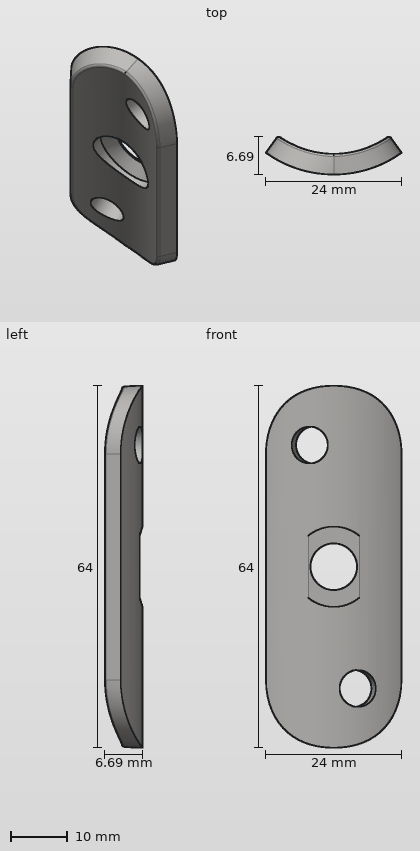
import cadquery as cq
import math

length = 64.0
width = 24.0
outer_radius = 20.5
thickness = 3.7
inner_radius = outer_radius - thickness
end_radius = width / 2
rim_fillet = 0.5
match_tolerance = 0.001
cutter_length = 2 * outer_radius

half_angle = math.degrees(math.asin(width / 2 / outer_radius))

throat_diameter = 8.2
throat_length = 0.2
bore_diameter = 12.4
seat_diameter = 14.2
seat_depth = 0.5

screw_hole_diameter = 6.5
screw_hole_height = 21.5
screw_hole_offset = 4.3
screw_hole_angle = math.degrees(math.asin(screw_hole_offset / outer_radius))


def arc_point(radius, angle):
    """Point on a circle about the tube axis, at an angle from the plate middle."""
    turn = math.radians(angle)
    return (radius * math.sin(turn), outer_radius - radius * math.cos(turn))


def radial_plane(angle, height=0.0):
    """Plane on the tube axis whose normal points out through the plate at an angle."""
    turn = math.radians(angle)
    return cq.Plane(
        origin=(0, outer_radius, height),
        xDir=(math.cos(turn), math.sin(turn), 0),
        normal=(math.sin(turn), -math.cos(turn), 0),
    )


def half_plate():
    """The +X half: a tube sector whose outer corners are rounded along the side wall."""
    sector = (
        cq.Workplane("XY")
        .moveTo(*arc_point(outer_radius, 0))
        .threePointArc(arc_point(outer_radius, half_angle / 2), arc_point(outer_radius, half_angle))
        .lineTo(*arc_point(inner_radius, half_angle))
        .threePointArc(arc_point(inner_radius, half_angle / 2), arc_point(inner_radius, 0))
        .close()
        .extrude(length / 2, both=True)
    )
    rounding = (
        cq.Workplane(radial_plane(half_angle))
        .center(-end_radius, 0)
        .slot2D(length, width, 90)
        .extrude(cutter_length)
    )
    return sector.intersect(rounding)


def lies_on_concave_face(edge):
    """True when the whole edge follows the inner cylinder."""
    points = [edge.positionAt(step / 4) for step in range(5)]
    distances = [math.hypot(point.x, point.y - outer_radius) for point in points]
    return all(abs(distance - inner_radius) < match_tolerance for distance in distances)


def plate():
    """Both halves joined, with the rim of the concave face rounded."""
    half = half_plate()
    whole = half.union(half.mirror("YZ"))
    rim = whole.edges().filter(lies_on_concave_face)
    return rim.fillet(rim_fillet)


def center_hole():
    """Stepped hole along Y: flat seat, short throat, 45 degree cone, wide bore at the back."""
    throat_radius = throat_diameter / 2
    bore_radius = bore_diameter / 2
    cone_start = seat_depth + throat_length
    cone_end = cone_start + bore_radius - throat_radius
    return (
        cq.Workplane("XY")
        .polyline(
            [
                (0, 0),
                (seat_diameter / 2, 0),
                (seat_diameter / 2, seat_depth),
                (throat_radius, seat_depth),
                (throat_radius, cone_start),
                (bore_radius, cone_end),
                (bore_radius, outer_radius),
                (0, outer_radius),
            ]
        )
        .close()
        .revolve(360, (0, 0, 0), (0, 1, 0))
    )


def screw_hole(angle, height):
    """Round hole whose axis runs out from the tube axis at an angle."""
    return (
        cq.Workplane(radial_plane(angle, height))
        .circle(screw_hole_diameter / 2)
        .extrude(cutter_length)
    )


result = plate().cut(center_hole())
for side in (-1, 1):
    result = result.cut(screw_hole(side * screw_hole_angle, -side * screw_hole_height))